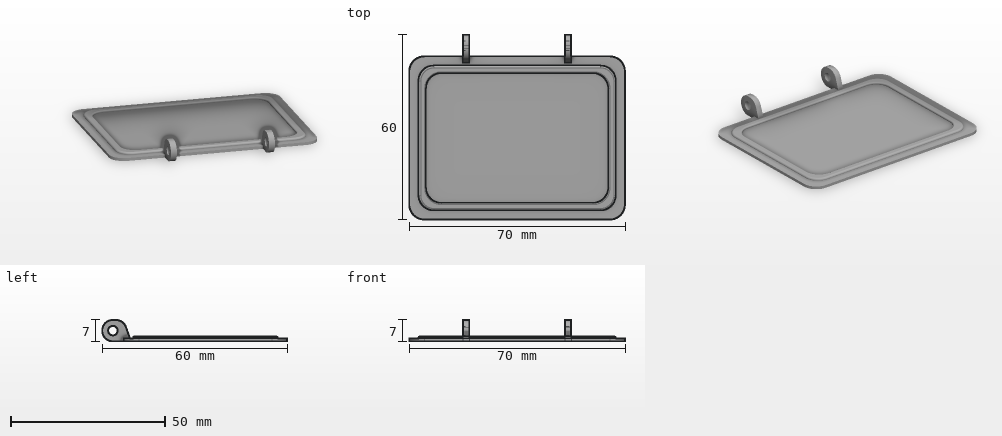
import cadquery as cq
import math

plate_length = 70.0
plate_width = 53.0
plate_thickness = 1.0
corner_radius = 5.0

rim_height = 0.7
rim_inset = 3.0
rim_outer_round = 0.69
rim_opening_inset = 5.45
rim_inner_round = 0.5

ear_radius = 3.5
ear_overhang = 7.0
ear_thickness = 2.0
ear_spacing = 33.05
ear_top_flat = 1.0
ear_back_tilt = 19.3
pin_hole_diameter = 3.0

plate_back = plate_width / 2
pin_y = plate_back + ear_overhang - ear_radius


def rounded_slab(inset, radius, bottom, height):
    """Rounded rectangle, inset from the plate outline and extruded upward."""
    return (
        cq.Workplane("XY", origin=(0, 0, bottom))
        .rect(plate_length - 2 * inset, plate_width - 2 * inset)
        .extrude(height)
        .edges("|Z")
        .fillet(radius)
    )


def make_rim():
    """Hollow frame with both of its top edges rounded."""
    block = rounded_slab(rim_inset, corner_radius, plate_thickness, rim_height)
    block = block.faces(">Z").edges().fillet(rim_outer_round)
    opening = rounded_slab(rim_opening_inset, corner_radius, plate_thickness, rim_height)
    frame = block.cut(opening)
    inner_top_wire = frame.faces(">Z").val().innerWires()[0]
    return frame.newObject(inner_top_wire.Edges()).fillet(rim_inner_round)


def make_ear(center_x):
    """Teardrop ear: round nose, short flat top and a tilted straight back."""
    tilt = math.radians(ear_back_tilt)
    back_arc_y = pin_y - ear_top_flat
    ear_top = 2 * ear_radius

    def back_arc_point(angle):
        return (back_arc_y - ear_radius * math.cos(angle), ear_radius + ear_radius * math.sin(angle))

    back_start = back_arc_point(tilt)
    back_foot_y = back_start[0] - (back_start[1] - plate_thickness) * math.tan(tilt)
    profile = (
        cq.Workplane("YZ", origin=(center_x - ear_thickness / 2, 0, 0))
        .moveTo(pin_y, 0)
        .threePointArc((pin_y + ear_radius, ear_radius), (pin_y, ear_top))
        .lineTo(back_arc_y, ear_top)
        .threePointArc(back_arc_point((tilt + math.pi / 2) / 2), back_start)
        .lineTo(back_foot_y, plate_thickness)
        .lineTo(back_foot_y, 0)
        .close()
    )
    pin_hole = (
        cq.Workplane("YZ", origin=(center_x - ear_thickness / 2, 0, 0))
        .center(pin_y, ear_radius)
        .circle(pin_hole_diameter / 2)
        .extrude(ear_thickness)
    )
    return profile.extrude(ear_thickness).cut(pin_hole)


result = rounded_slab(0, corner_radius, 0, plate_thickness)
result = result.union(make_rim())
for side in (-1, 1):
    result = result.union(make_ear(side * ear_spacing / 2))